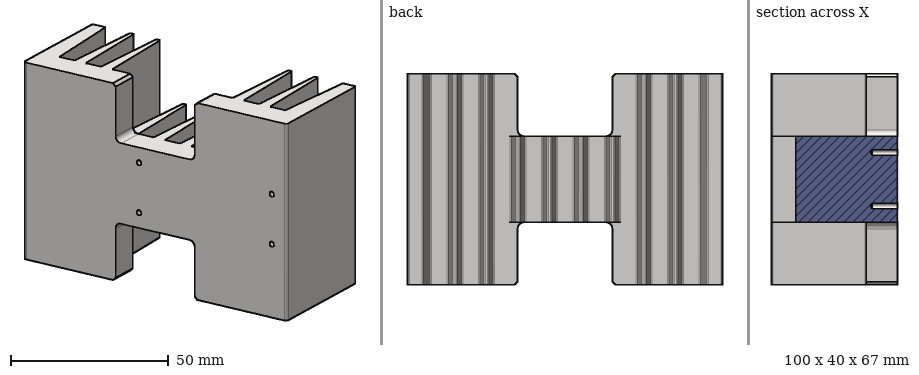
import cadquery as cq
import math

length = 100.0
depth = 40.0
height = 67.0
base_thickness = 10.0
front_corner_radius = 1.0

fin_count = 8
fin_pitch = 10.0
fin_root_width = 4.2
fin_tip_width = 1.5
wall_root_width = 7.1
wall_tip_width = 5.0
root_radius = 0.5
tip_radius = 0.5

notch_width = 30.0
web_height = 27.4
notch_depth = (height - web_height) / 2
notch_inner_radius = 2.0
notch_mouth_chamfer = 1.0

fins_shortened = 4
fin_clearance_width = fins_shortened * fin_pitch

hole_diameter = 1.7
hole_depth = 8.0
drill_point_angle = 118.0
hole_spacing_x = 50.4
hole_spacing_z = 17.0
hole_group_x = 19.1

wall_root_x = length / 2 - wall_root_width
wall_tip_x = length / 2 - wall_tip_width


def profile_points():
    """Comb outline in the XY plane, traced from the mounting face around the fins."""
    points = [(-length / 2, 0), (length / 2, 0), (length / 2, depth)]
    points += [(wall_tip_x, depth), (wall_root_x, base_thickness)]
    for index in reversed(range(fin_count)):
        center = (index - (fin_count - 1) / 2) * fin_pitch
        points += [
            (center + fin_root_width / 2, base_thickness),
            (center + fin_tip_width / 2, depth),
            (center - fin_tip_width / 2, depth),
            (center - fin_root_width / 2, base_thickness),
        ]
    points += [(-wall_root_x, base_thickness), (-wall_tip_x, depth), (-length / 2, depth)]
    return points


def at_y(y):
    """Selector for the extrusion's long edges at the given Y."""
    reach = length
    tolerance = 0.01
    return cq.selectors.BoxSelector(
        (-reach, y - tolerance, -reach), (reach, y + tolerance, reach)
    )


def make_extrusion():
    body = cq.Workplane("XY").polyline(profile_points()).close().extrude(height / 2, both=True)
    body = body.edges("|Z").edges(at_y(0)).fillet(front_corner_radius)
    body = body.edges("|Z").edges(at_y(base_thickness)).fillet(root_radius)
    return body.edges("|Z").edges(at_y(depth)).fillet(tip_radius)


def make_notch(side):
    """Notch cutter for the top (side = 1) or bottom (side = -1) end."""
    half = notch_width / 2
    end = side * height / 2
    floor = side * web_height / 2
    mouth = end - side * notch_mouth_chamfer
    mouth_half = half + notch_mouth_chamfer
    outline = [(-mouth_half, end), (-half, mouth), (-half, floor)]
    outline += [(half, floor), (half, mouth), (mouth_half, end)]
    cutter = cq.Workplane("XZ").polyline(outline).close().extrude(-depth)
    floor_face = "<Z" if side > 0 else ">Z"
    return cutter.faces(floor_face).edges("|Y").fillet(notch_inner_radius)


def make_fin_clearance(side):
    """Cutter that shortens the fins behind one notch down to the web."""
    fin_length = depth - base_thickness
    return cq.Workplane("XY").box(fin_clearance_width, fin_length, notch_depth).translate(
        (0, base_thickness + fin_length / 2, side * (web_height + notch_depth) / 2)
    )


def make_hole():
    """Drilled hole along +Y from the origin, ending in a conical point."""
    radius = hole_diameter / 2
    point_depth = radius / math.tan(math.radians(drill_point_angle / 2))
    outline = [(0, 0), (radius, 0), (radius, hole_depth), (0, hole_depth + point_depth)]
    return cq.Workplane("XY").polyline(outline).close().revolve(360, (0, 0), (0, 1))


result = make_extrusion()
for end_side in (1, -1):
    result = result.cut(make_notch(end_side))
    result = result.cut(make_fin_clearance(end_side))
for x_side in (1, -1):
    for z_side in (1, -1):
        hole_x = hole_group_x + x_side * hole_spacing_x / 2
        hole_z = z_side * hole_spacing_z / 2
        result = result.cut(make_hole().translate((hole_x, 0, hole_z)))